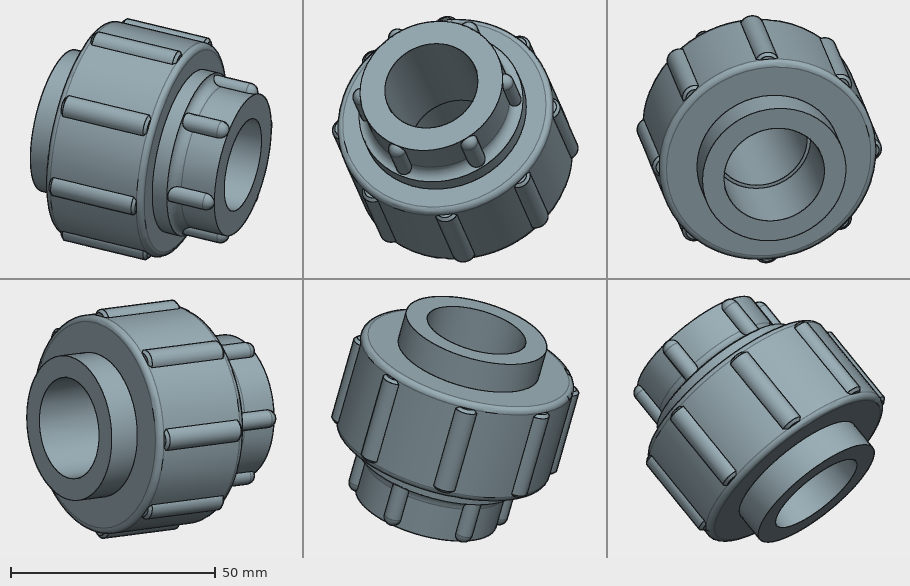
import cadquery as cq

total_length = 49.0
nut_start = 7.7
nut_length = 25.9
nut_end = nut_start + nut_length
flange_end = 37.5

spigot_diameter = 35.7
nut_diameter = 53.9
nut_edge_radius = 1.5
flange_diameter = 41.05
tail_diameter = spigot_diameter
tail_fillet_radius = (flange_diameter - tail_diameter) / 2

socket_diameter = 25.0
socket_depth = 19.0
bore_diameter = 23.3

nut_rib_count = 8
nut_rib_radius = 3.0
nut_rib_tip_radius = 28.49
nut_rib_axis_radius = nut_rib_tip_radius - nut_rib_radius
nut_rib_start = nut_start + nut_edge_radius
nut_rib_length = nut_length - 2 * nut_edge_radius
nut_rib_chamfer = 0.75

tail_rib_count = 6
tail_rib_radius = 2.2
tail_rib_axis_radius = tail_diameter / 2


def cylinder(start, length, diameter):
    """Solid cylinder on the X axis."""
    return cq.Workplane("YZ", origin=(start, 0, 0)).circle(diameter / 2).extrude(length)


def ring_of(rib, count):
    """Copies of a rib spaced evenly around the X axis."""
    ring = rib
    for index in range(1, count):
        ring = ring.union(rib.rotate((0, 0, 0), (1, 0, 0), index * 360 / count))
    return ring


def make_nut():
    nut = cylinder(nut_start, nut_length, nut_diameter).edges().fillet(nut_edge_radius)
    rib = (
        cylinder(nut_rib_start, nut_rib_length, 2 * nut_rib_radius)
        .edges()
        .chamfer(nut_rib_chamfer)
        .translate((0, nut_rib_axis_radius, 0))
    )
    return nut.union(ring_of(rib, nut_rib_count))


def make_tail():
    """Tail with a concave fillet running up to the rim of the flange."""
    tail_radius = tail_diameter / 2
    flange_radius = flange_diameter / 2
    fillet_end = flange_end + tail_fillet_radius
    profile = (
        cq.Workplane("XY")
        .moveTo(nut_start, 0)
        .lineTo(nut_start, flange_radius)
        .lineTo(flange_end, flange_radius)
        .radiusArc((fillet_end, tail_radius), -tail_fillet_radius)
        .lineTo(total_length, tail_radius)
        .lineTo(total_length, 0)
        .close()
    )
    return profile.revolve(360, (0, 0, 0), (1, 0, 0))


def make_tail_ribs():
    """Round ribs from the flange to the tail end, each with a ball-shaped tip."""
    straight_length = total_length - tail_rib_radius - nut_end
    ball_centre = (total_length - tail_rib_radius, 0, 0)
    rib = (
        cylinder(nut_end, straight_length, 2 * tail_rib_radius)
        .union(cq.Workplane("XY").sphere(tail_rib_radius).translate(ball_centre))
        .translate((0, tail_rib_axis_radius, 0))
    )
    return ring_of(rib, tail_rib_count)


def make_passage():
    """Through bore with a wider pipe socket at the spigot end."""
    bore = cylinder(0, total_length, bore_diameter)
    return bore.union(cylinder(0, socket_depth, socket_diameter))


spigot = cylinder(0, nut_end, spigot_diameter)
body = spigot.union(make_nut()).union(make_tail()).union(make_tail_ribs())
result = body.cut(make_passage())